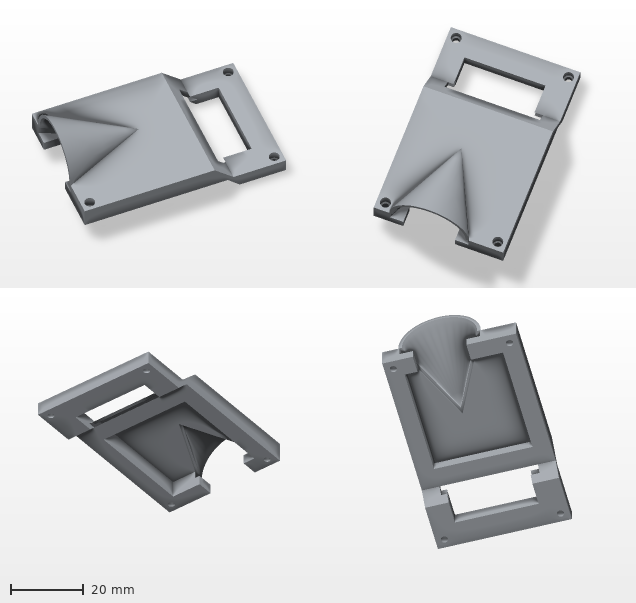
import cadquery as cq

width = 37.95
length = 59.8

low_split = 1.8
high_bottom = 3.5
low_top = 4.0
high_split = 6.45
high_top = 9.4

under_slope_foot = 46.0
over_slope_foot = 44.2
over_slope_head = 38.55
lip_undercut = low_top - low_split

wall = 5.0
roof = 0.8
slope_skin = 1.1
window_left = 6.7
window_width = 23.75
window_end = 52.65

cone_x = 16.25
cone_radius = 11.7
cone_length = 25.0
cone_skin = 1.0
seat_overlap = 0.2
notch_width = 15.2

hole_inset = 2.5
clearance_diameter = 3.0
pilot_diameter = 2.0

margin = 0.6


def over_slope_y(z):
    """Y of the outer sloped face at height z."""
    run = over_slope_foot - over_slope_head
    return over_slope_foot - run * (z - low_top) / (high_top - low_top)


def under_slope_y(z):
    """Y of the 45 degree underside at height z."""
    return under_slope_foot - z


def side_profile(points, x_start, x_end):
    """Prism along X from a list of (y, z) points."""
    return cq.Workplane("YZ").workplane(offset=x_start).polyline(points).close().extrude(x_end - x_start)


def block(x_range, y_range, z_range):
    """Axis-aligned box from its limits."""
    corner = cq.Vector(x_range[0], y_range[0], z_range[0])
    size = [high - low for low, high in (x_range, y_range, z_range)]
    return cq.Workplane(cq.Solid.makeBox(*size, corner))


def stepped_body():
    """Two flat decks joined by the sloped step."""
    outline = [
        (0, high_bottom),
        (0, high_top),
        (over_slope_head, high_top),
        (over_slope_foot, low_top),
        (length, low_top),
        (length, 0),
        (under_slope_foot, 0),
        (under_slope_y(high_bottom), high_bottom),
    ]
    return side_profile(outline, 0, width)


def duct():
    """Channel under the roof that runs down the step into the window."""
    ceiling = high_top - roof
    lip = under_slope_y(low_split)
    outline = [
        (wall, high_split),
        (wall, ceiling),
        (over_slope_y(ceiling) - slope_skin, ceiling),
        (over_slope_y(high_split) - slope_skin, high_split),
        (over_slope_y(high_split), high_split),
        (over_slope_foot, low_top),
        (over_slope_foot + lip_undercut, low_split),
        (lip, low_split),
        (under_slope_y(high_split), high_split),
    ]
    return side_profile(outline, wall, width - wall)


def floor_pocket():
    """Opening in the lower layer of the high deck, leaving a rim."""
    end = over_slope_y(high_split) - wall
    return block((wall, width - wall), (wall, end), (high_bottom - margin, high_split))


def window():
    """Rectangular opening through the low deck."""
    x_range = (window_left, window_left + window_width)
    return block(x_range, (over_slope_foot, window_end), (-margin, low_top + margin))


def mouth_notch():
    """Gap in the front rim below the cone."""
    half = notch_width / 2
    return block((cone_x - half, cone_x + half), (-margin, wall + margin), (high_bottom - margin, high_split))


def mouth_wedge():
    """Triangular cut through the roof, slightly inside the cone footprint so that the cone has a seat."""
    half = cone_radius - seat_overlap
    depth = cone_length * half / cone_radius
    corners = [(cone_x - half, 0), (cone_x + half, 0), (cone_x, depth)]
    return cq.Workplane("XY").workplane(offset=high_split).polyline(corners).close().extrude(high_top - high_split)


def half_cone(radius):
    """Upper half of a cone lying along Y on the top face, with the pitch of the outer cone."""
    depth = cone_length * radius / cone_radius
    base = cq.Vector(cone_x, 0, high_top)
    cone = cq.Workplane(cq.Solid.makeCone(radius, 0, depth, base, cq.Vector(0, 1, 0)))
    return cone.intersect(block((0, width), (0, length), (high_top, high_top + 2 * cone_radius)))


def screw_holes(y, split, top):
    """Pair of holes: clearance in the upper layer, pilot in the lower one."""
    centres = [(hole_inset, y), (width - hole_inset, y)]
    clearance = (
        cq.Workplane("XY").workplane(offset=split).pushPoints(centres)
        .circle(clearance_diameter / 2).extrude(top - split + margin)
    )
    pilot = (
        cq.Workplane("XY").workplane(offset=-margin).pushPoints(centres)
        .circle(pilot_diameter / 2).extrude(split + 2 * margin)
    )
    return clearance.union(pilot)


body = stepped_body().cut(duct()).cut(floor_pocket()).cut(window())
body = body.cut(mouth_notch()).cut(mouth_wedge())
body = body.cut(screw_holes(hole_inset, high_split, high_top))
body = body.cut(screw_holes(length - hole_inset, low_split, low_top))

cone_shell = half_cone(cone_radius).cut(half_cone(cone_radius - cone_skin))
result = body.union(cone_shell)